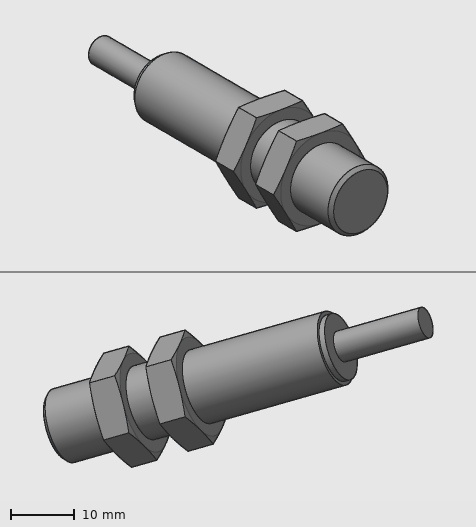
import cadquery as cq
import math

total_length = 65.0
cable_length = 15.0
collar_length = 1.0
nut_starts = (40.0, 50.0)

cable_diameter = 5.0
collar_diameter = 10.8
barrel_diameter = 12.0
tip_diameter = 10.8
tip_chamfer_length = 0.65

nut_across_flats = 16.0
nut_across_corners = nut_across_flats / math.cos(math.radians(30))
nut_thickness = 5.0
nut_corner_chamfer = 0.25


def make_sensor():
    """Revolve the cable, stepped collar and chamfered barrel about the X axis."""
    collar_start = cable_length
    barrel_start = collar_start + collar_length
    return (
        cq.Workplane("XY")
        .moveTo(0, 0)
        .lineTo(0, cable_diameter / 2)
        .lineTo(collar_start, cable_diameter / 2)
        .lineTo(collar_start, collar_diameter / 2)
        .lineTo(barrel_start, collar_diameter / 2)
        .lineTo(barrel_start, barrel_diameter / 2)
        .lineTo(total_length - tip_chamfer_length, barrel_diameter / 2)
        .lineTo(total_length, tip_diameter / 2)
        .lineTo(total_length, 0)
        .close()
        .revolve(360, (0, 0, 0), (1, 0, 0))
    )


def make_nut(start):
    """Make a hexagonal nut with corners on +Y and -Y and both faces chamfered."""
    hexagon = (
        cq.Workplane("YZ", origin=(start, 0, 0))
        .polygon(6, nut_across_corners)
        .circle(barrel_diameter / 2)
        .extrude(nut_thickness)
    )
    end = start + nut_thickness
    face_radius = nut_across_flats / 2
    corner_radius = nut_across_corners / 2
    chamfer_envelope = (
        cq.Workplane("XY")
        .moveTo(start, 0)
        .lineTo(start, face_radius)
        .lineTo(start + nut_corner_chamfer, corner_radius)
        .lineTo(end - nut_corner_chamfer, corner_radius)
        .lineTo(end, face_radius)
        .lineTo(end, 0)
        .close()
        .revolve(360, (0, 0, 0), (1, 0, 0))
    )
    return hexagon.intersect(chamfer_envelope)


sensor = make_sensor()
nuts = [make_nut(start) for start in nut_starts]

result = cq.Compound.makeCompound([sensor.val(), *[nut.solids().val() for nut in nuts]])